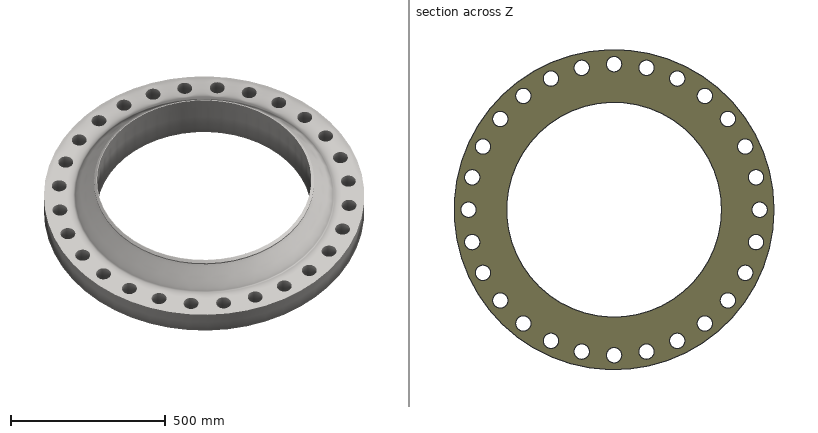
import cadquery as cq
import math

flange_radius = 517.5
ring_thickness = 76.2
face_height = 1.6
face_radius = 446.0
flange_top = face_height + ring_thickness
total_height = 152.46

pipe_radius = 355.6
wall = 9.53
weld_land = 1.6
weld_bevel_angle = 37.5
neck_height = 5.0
hub_slope_angle = 45.0
hub_foot_fillet = 8.0
bore_radius = pipe_radius - wall

bolt_count = 28
bolt_circle_radius = 470.0
bolt_hole_diameter = 48.0


def make_body():
    """Revolved flange ring, hub and bore, with the fillet at the foot of the hub."""
    land_radius = bore_radius + weld_land
    bevel_height = (pipe_radius - land_radius) * math.tan(math.radians(weld_bevel_angle))
    bevel_base = total_height - bevel_height
    neck_base = bevel_base - neck_height

    slope = math.radians(hub_slope_angle)
    cone_foot_radius = pipe_radius + (neck_base - flange_top) / math.tan(slope)

    tangent_length = hub_foot_fillet * math.tan(slope / 2)
    fillet_start_radius = cone_foot_radius + tangent_length
    fillet_mid = (
        fillet_start_radius - hub_foot_fillet * math.sin(slope / 2),
        flange_top + hub_foot_fillet * (1 - math.cos(slope / 2)),
    )
    fillet_end = (
        cone_foot_radius - tangent_length * math.cos(slope),
        flange_top + tangent_length * math.sin(slope),
    )

    profile = (
        cq.Workplane("XZ")
        .moveTo(bore_radius, 0)
        .lineTo(face_radius, 0)
        .lineTo(face_radius, face_height)
        .lineTo(flange_radius, face_height)
        .lineTo(flange_radius, flange_top)
        .lineTo(fillet_start_radius, flange_top)
        .threePointArc(fillet_mid, fillet_end)
        .lineTo(pipe_radius, neck_base)
        .lineTo(pipe_radius, bevel_base)
        .lineTo(land_radius, total_height)
        .lineTo(bore_radius, total_height)
        .close()
    )
    return profile.revolve(360, (0, 0, 0), (0, 1, 0))


def make_bolt_holes():
    """Through holes evenly spaced on the bolt circle, the first on +X."""
    return (
        cq.Workplane("XY")
        .polarArray(bolt_circle_radius, 0, 360, bolt_count)
        .circle(bolt_hole_diameter / 2)
        .extrude(flange_top)
    )


result = make_body().cut(make_bolt_holes())